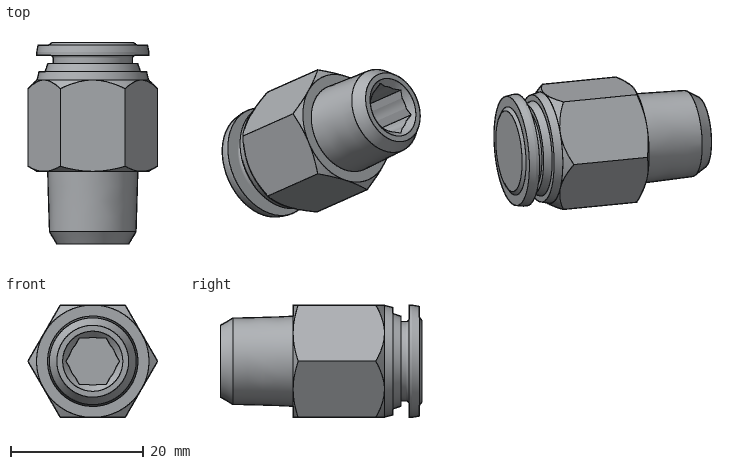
import cadquery as cq
import math

length = 30.5

hex_flats = 17.0
hex_front = 11.0
hex_rear = 24.8
front_chamfer_angle = 30.0
rear_chamfer_angle = 45.0

thread_root_radius = 6.83
thread_end_radius = 6.55
tip_radius = 5.43
tip_chamfer_length = 1.9

cap_front_radius = 8.45
cap_rear_radius = 8.15
cap_length = 1.28
collar_front_radius = 7.23
collar_rear_radius = 6.8
collar_length = 1.22

neck_radius = 6.0
neck_fillet = 0.45
flange_front = 28.52
flange_rim_length = 0.5
flange_rear = 30.07
flange_radius = hex_flats / 2
flange_rear_radius = 8.3
sleeve_shoulder_radius = 6.7
sleeve_end_radius = 6.13

socket_flats = 7.0
socket_bore_radius = 3.6
socket_depth = hex_front
lead_in_radius = 4.55
lead_in_angle = 45.0


def corner_radius(flats):
    return flats / math.sqrt(3)


def hex_prism(flats, start, end):
    """Hexagonal prism along Y with two corners on the X axis."""
    return (
        cq.Workplane("XZ", origin=(0, start, 0))
        .polygon(6, 2 * corner_radius(flats))
        .extrude(start - end)
    )


def revolve_about_y(profile):
    return profile.close().revolve(360, (0, 0, 0), (0, 1, 0))


def make_hex_body():
    inner = hex_flats / 2
    outer = corner_radius(hex_flats)
    front_chamfer = (outer - inner) * math.tan(math.radians(front_chamfer_angle))
    rear_chamfer = (outer - inner) * math.tan(math.radians(rear_chamfer_angle))
    envelope = revolve_about_y(
        cq.Workplane("XY")
        .moveTo(0, hex_front)
        .lineTo(inner, hex_front)
        .lineTo(outer, hex_front + front_chamfer)
        .lineTo(outer, hex_rear - rear_chamfer)
        .lineTo(inner, hex_rear)
        .lineTo(0, hex_rear)
    )
    return hex_prism(hex_flats, hex_front, hex_rear).intersect(envelope)


def make_thread():
    return revolve_about_y(
        cq.Workplane("XY")
        .lineTo(tip_radius, 0)
        .lineTo(thread_end_radius, tip_chamfer_length)
        .lineTo(thread_root_radius, hex_front)
        .lineTo(0, hex_front)
    )


def make_rear_end():
    cap_rear = hex_rear + cap_length
    collar_rear = cap_rear + collar_length
    fillet_offset = neck_fillet * (1 - math.sqrt(0.5))
    return revolve_about_y(
        cq.Workplane("XY")
        .moveTo(0, hex_rear)
        .lineTo(cap_front_radius, hex_rear)
        .lineTo(cap_rear_radius, cap_rear)
        .lineTo(collar_front_radius, cap_rear)
        .lineTo(collar_rear_radius, collar_rear)
        .lineTo(neck_radius, collar_rear)
        .lineTo(neck_radius, flange_front - neck_fillet)
        .threePointArc(
            (neck_radius + fillet_offset, flange_front - fillet_offset),
            (neck_radius + neck_fillet, flange_front),
        )
        .lineTo(flange_radius, flange_front)
        .lineTo(flange_radius, flange_front + flange_rim_length)
        .lineTo(flange_rear_radius, flange_rear)
        .lineTo(sleeve_shoulder_radius, flange_rear)
        .lineTo(sleeve_end_radius, length)
        .lineTo(0, length)
    )


def make_socket():
    lead_in_depth = lead_in_radius * math.tan(math.radians(lead_in_angle))
    lead_in = revolve_about_y(
        cq.Workplane("XY")
        .lineTo(lead_in_radius, 0)
        .lineTo(0, lead_in_depth)
    )
    bore = cq.Workplane("XZ").circle(socket_bore_radius).extrude(-socket_depth)
    return hex_prism(socket_flats, 0, socket_depth).union(bore).union(lead_in)


result = make_hex_body().union(make_thread()).union(make_rear_end()).cut(make_socket())